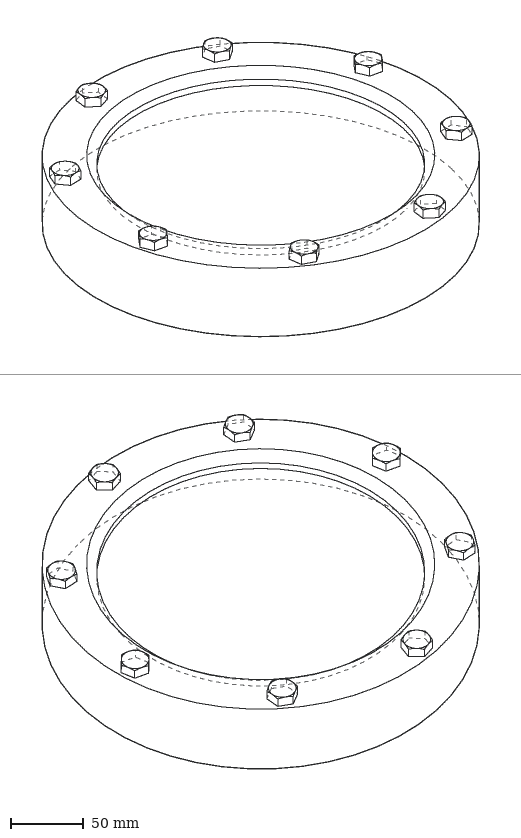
import cadquery as cq
import math

body_diameter = 300.0
body_height = 55.0

recess_diameter = 225.0
recess_depth = 12.0
rim_diameter = 238.8
rim_depth = (rim_diameter - recess_diameter) / 2

bolt_count = 8
bolt_circle_diameter = 274.8
first_bolt_angle = 22.5
head_height = 7.5
head_across_flats = 19.0
head_top_diameter = head_across_flats
head_chamfer_angle = 30.0
head_twist = -22.5


def make_body():
    """Solid disc with the recess cut into its top, revolved about Z."""
    profile = [
        (0, 0),
        (body_diameter / 2, 0),
        (body_diameter / 2, body_height),
        (rim_diameter / 2, body_height),
        (recess_diameter / 2, body_height - rim_depth),
        (recess_diameter / 2, body_height - recess_depth),
        (0, body_height - recess_depth),
    ]
    return cq.Workplane("XZ").polyline(profile).close().revolve(360, (0, 0), (0, 1))


def make_bolt_head():
    """Hexagon head on Z = 0 with one corner on +X and its top corners coned off."""
    across_corners = head_across_flats / math.cos(math.radians(30))
    hexagon = cq.Workplane("XY").polygon(6, across_corners).extrude(head_height)
    corner_radius = across_corners / 2
    top_radius = head_top_diameter / 2
    chamfer_drop = (corner_radius - top_radius) * math.tan(math.radians(head_chamfer_angle))
    envelope = (
        cq.Workplane("XZ")
        .polyline([
            (0, 0),
            (corner_radius, 0),
            (corner_radius, head_height - chamfer_drop),
            (top_radius, head_height),
            (0, head_height),
        ])
        .close()
        .revolve(360, (0, 0), (0, 1))
    )
    return hexagon.intersect(envelope)


result = make_body()
twisted_head = make_bolt_head().rotate((0, 0, 0), (0, 0, 1), head_twist)
placed_head = twisted_head.translate((bolt_circle_diameter / 2, 0, body_height))
for index in range(bolt_count):
    bolt_angle = first_bolt_angle + index * 360 / bolt_count
    result = result.union(placed_head.rotate((0, 0, 0), (0, 0, 1), bolt_angle))